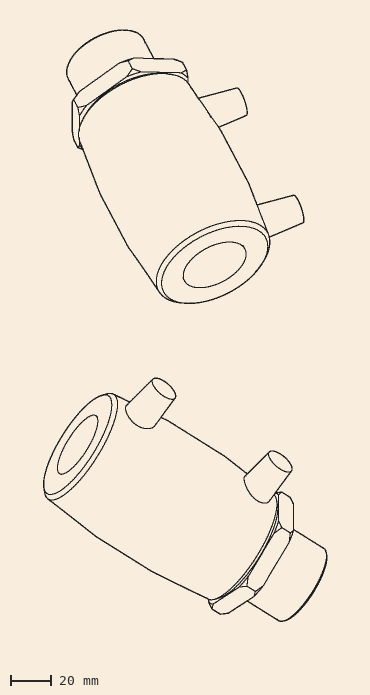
import cadquery as cq
import math

hex_start = 26.9
hex_width = 9.1
body_start = hex_start + hex_width
overall_length = 137.0
body_center = (body_start + overall_length) / 2

spigot_diameter = 41.91
spigot_chamfer = 0.9
bore_diameter = 33.53

hex_sides = 6
hex_across_corners = 67.0
hex_chamfer = 2.0

body_diameter = 67.0
body_end_diameter = 60.7
body_chamfer = 2.0
middle_length = 34.0

terminal_spacing = 70.8
terminal_tip_y = 51.0
terminal_tip_diameter = 14.4
terminal_taper_angle = 4.0
terminal_root_y = 25.0


def make_spigot():
    """Plain cylinder along X with a chamfered open end."""
    return (
        cq.Workplane("YZ")
        .circle(spigot_diameter / 2)
        .extrude(body_start)
        .faces("<X")
        .chamfer(spigot_chamfer)
    )


def make_hex_collar():
    """Hexagonal prism whose corners are turned down conically at both ends."""
    hexagon = (
        cq.Workplane("YZ", origin=(hex_start, 0, 0))
        .polygon(hex_sides, hex_across_corners)
        .extrude(hex_width)
        .rotate((0, 0, 0), (1, 0, 0), 90)
    )
    turned_blank = (
        cq.Workplane("YZ", origin=(hex_start, 0, 0))
        .circle(hex_across_corners / 2)
        .extrude(hex_width)
        .edges()
        .chamfer(hex_chamfer)
    )
    return hexagon.intersect(turned_blank)


def make_body():
    """Barrel of revolution: straight middle and conical shoulders falling to chamfered ends."""
    middle_radius = body_diameter / 2
    end_radius = body_end_diameter / 2
    face_radius = end_radius - body_chamfer
    left_rim = body_start + body_chamfer
    right_rim = overall_length - body_chamfer
    middle_left = body_center - middle_length / 2
    middle_right = body_center + middle_length / 2
    return (
        cq.Workplane("XY")
        .moveTo(body_start, 0)
        .lineTo(body_start, face_radius)
        .lineTo(left_rim, end_radius)
        .lineTo(middle_left, middle_radius)
        .lineTo(middle_right, middle_radius)
        .lineTo(right_rim, end_radius)
        .lineTo(overall_length, face_radius)
        .lineTo(overall_length, 0)
        .close()
        .revolve(360, (0, 0, 0), (1, 0, 0))
    )


def make_terminal(x):
    """Cone along +Y that widens toward the body."""
    length = terminal_tip_y - terminal_root_y
    tip_radius = terminal_tip_diameter / 2
    root_radius = tip_radius + length * math.tan(math.radians(terminal_taper_angle))
    cone = cq.Solid.makeCone(
        root_radius, tip_radius, length, cq.Vector(x, terminal_root_y, 0), cq.Vector(0, 1, 0)
    )
    return cq.Workplane(obj=cone)


def make_bore():
    """Cylinder that opens the part from end to end."""
    return cq.Workplane("YZ").circle(bore_diameter / 2).extrude(overall_length)


result = make_spigot().union(make_hex_collar()).union(make_body())
for side in (-1, 1):
    result = result.union(make_terminal(body_center + side * terminal_spacing / 2))
result = result.cut(make_bore())